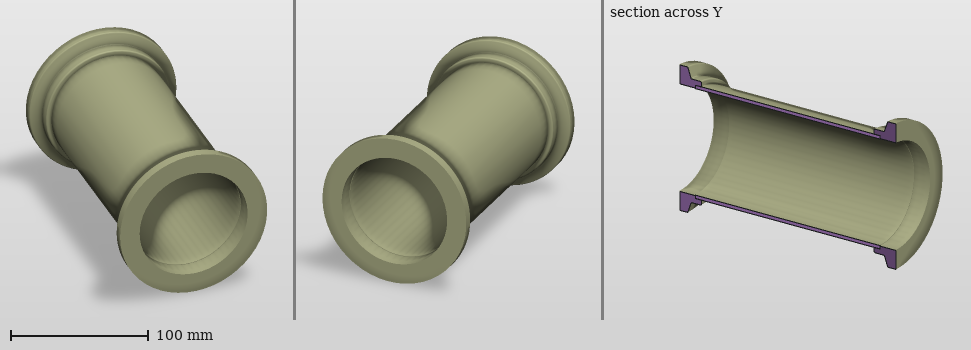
import cadquery as cq
import math

overall_length = 196.0
half_length = overall_length / 2

pipe_bore_radius = 83.0 / 2
pipe_radius = 89.0 / 2
ferrule_bore_radius = 83.7 / 2
hub_radius = 97.0 / 2
flange_radius = 114.0 / 2

rim_width = 7.6
ferrule_length = 20.0
socket_shoulder = 14.3
clamp_angle = 20.0
clamp_run = (flange_radius - hub_radius) * math.tan(math.radians(clamp_angle))
hub_start = rim_width + clamp_run

rim_fillet = 1.2
root_fillet = 0.8
hub_end_fillet = 1.2

pipe_length = overall_length - 2 * socket_shoulder

position_tolerance = 1.96e-06


def round_edge(body, position, radius, fillet):
    """Fillet the circular edge of the given radius centred on the axis at X = position."""
    edges = [
        edge for edge in body.edges("%CIRCLE").vals()
        if abs(edge.Center().x - position) < position_tolerance
        and abs(edge.radius() - radius) < position_tolerance
    ]
    return body.newObject(edges).fillet(fillet)


def make_ferrule():
    """Clamp ferrule with its outer face at X = 0 and its pipe socket facing +X."""
    profile = [
        (0, ferrule_bore_radius),
        (0, flange_radius),
        (rim_width, flange_radius),
        (hub_start, hub_radius),
        (ferrule_length, hub_radius),
        (ferrule_length, pipe_radius),
        (socket_shoulder, pipe_radius),
        (socket_shoulder, ferrule_bore_radius),
    ]
    body = cq.Workplane("XY").polyline(profile).close().revolve(360, (0, 0), (1, 0))
    body = round_edge(body, rim_width, flange_radius, rim_fillet)
    body = round_edge(body, hub_start, hub_radius, root_fillet)
    return round_edge(body, ferrule_length, hub_radius, hub_end_fillet)


def make_pipe():
    """Plain pipe reaching from one socket shoulder to the other."""
    return (
        cq.Workplane("YZ", origin=(-pipe_length / 2, 0, 0))
        .circle(pipe_radius)
        .circle(pipe_bore_radius)
        .extrude(pipe_length)
    )


pipe = make_pipe()

ferrules = []
for turn in (0, 180):
    ferrule = make_ferrule().translate((-half_length, 0, 0))
    ferrules.append(ferrule.rotate((0, 0, 0), (0, 0, 1), turn).val())

result = cq.Compound.makeCompound([pipe.val(), *ferrules])